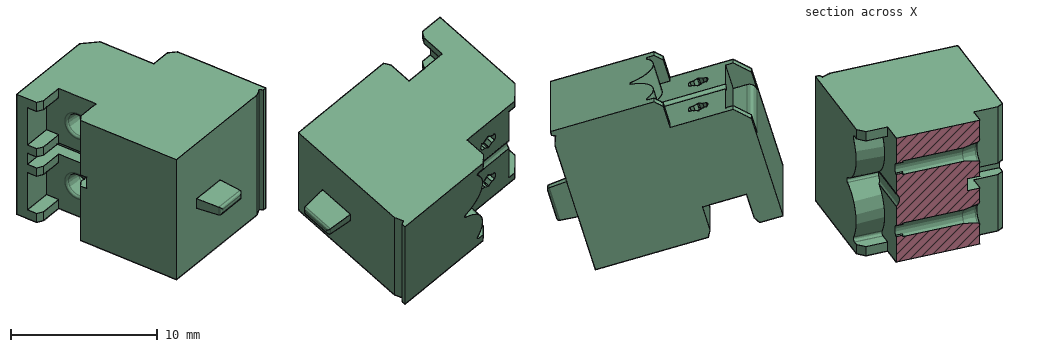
import cadquery as cq
import math

body_length = 13.4
body_width = 10.5
body_height = 10.0

step_length = 5.5
step_y = 8.4
end_chamfer = 1.0
step_chamfer = 0.5

lip_width = 0.3
undercut_depth = 0.26
undercut_start = 0.42
undercut_end = 1.05

groove_start = 1.94
groove_end = 5.07
groove_depth = 2.23
groove_chamfer_x = 0.27
groove_chamfer_y = 0.45

lip_thickness = 0.92
notch_bottom_z = 1.15
slit_width = 0.92
slit_end = 5.85
slit_extra_depth = 0.9

side_wall = 0.75
pocket_depth = 1.54
pocket_y = 6.07
pocket_round = 0.55

pole_spacing = 5.0
pole_z = pole_spacing / 2
column_radius = 2.5
column_x = 8.55
column_fillet = 0.2

trough_radius = 0.65
trough_depth = 0.22

hole_x = 3.5
hole_rim_radius = 1.05
hole_round = 0.18
hole_radius = 0.7
hole_taper_depth = 1.0
tooth_height = 0.5
tooth_tip_radius = 0.55
tooth_tip_angle = 53
tooth_root_angles = (34, 86)

pin_length = 1.95
pin_y = 3.755
pin_base_width = 2.75
pin_tip_width = 2.45
pin_base_thickness = 0.8
pin_tip_thickness = 0.64
pin_round = 0.2

half_height = body_height / 2
pocket_half_height = half_height - side_wall


def box(x_range, y_range, z_range):
    """Box between the given pairs of limits."""
    size = [high - low for low, high in (x_range, y_range, z_range)]
    corner = (x_range[0], y_range[0], z_range[0])
    return cq.Workplane("XY").box(*size, centered=False).translate(corner)


def polar(radius, degrees):
    angle = math.radians(degrees)
    return radius * math.cos(angle), radius * math.sin(angle)


def make_housing():
    outline = [
        (0, 0),
        (groove_start - groove_chamfer_x, 0),
        (groove_start, groove_chamfer_y),
        (groove_start, groove_depth),
        (groove_end, groove_depth),
        (groove_end, groove_chamfer_y),
        (groove_end + groove_chamfer_x, 0),
        (body_length, 0),
        (body_length, body_width - undercut_end),
        (body_length - undercut_depth, body_width - undercut_start),
        (body_length, body_width - lip_width),
        (body_length, body_width),
        (step_length + step_chamfer, body_width),
        (step_length, body_width - step_chamfer),
        (step_length, step_y),
        (end_chamfer, step_y),
        (0, step_y - end_chamfer),
    ]
    return cq.Workplane("XY").polyline(outline).close().extrude(half_height, both=True)


def make_end_pocket():
    """Pocket in the -X end, flared by a rounded edge along its -Y side."""
    return (
        cq.Workplane("XY")
        .moveTo(0, pocket_y)
        .radiusArc((pocket_round, pocket_y + pocket_round), pocket_round)
        .lineTo(pocket_depth, pocket_y + pocket_round)
        .lineTo(pocket_depth, step_y)
        .lineTo(0, step_y)
        .close()
        .extrude(pocket_half_height, both=True)
    )


def on_circle(center, radius, degrees):
    """Point on a circle, with the angle counted from the local +X direction."""
    offset = polar(radius, degrees)
    return center[0] + offset[0], center[1] + offset[1]


def make_column_recess(floor_y):
    """Space above floor_y, from the -X end to the wall that runs around the two pole columns."""
    reach = column_radius + column_fillet

    wall_rise = pocket_half_height - column_fillet - pole_z
    wall_angle = 180 - math.degrees(math.asin(wall_rise / reach))
    middle_angle = 180 + math.degrees(math.asin(pole_z / reach))

    column = (column_x, pole_z)
    wall_fillet = on_circle(column, reach, wall_angle)
    middle_fillet = on_circle(column, reach, middle_angle)

    wall_sweep_middle = (90 + wall_angle - 180) / 2
    middle_sweep_middle = (middle_angle - 180) / 2

    upper_half = (
        cq.Workplane("XZ", origin=(0, floor_y, 0))
        .moveTo(0, 0)
        .lineTo(0, pocket_half_height)
        .lineTo(wall_fillet[0], pocket_half_height)
        .threePointArc(
            on_circle(wall_fillet, column_fillet, wall_sweep_middle),
            on_circle(column, column_radius, wall_angle),
        )
        .threePointArc(
            (column_x - column_radius, pole_z),
            on_circle(column, column_radius, middle_angle),
        )
        .threePointArc(
            on_circle(middle_fillet, column_fillet, middle_sweep_middle),
            on_circle(middle_fillet, column_fillet, 0),
        )
        .close()
        .extrude(floor_y - body_width)
    )
    return upper_half.union(upper_half.mirror("XY"))


def make_trough():
    """Shallow round trough along the step face, ending at the wall of the column recess."""
    cylinder = (
        cq.Workplane("YZ")
        .center(step_y - trough_depth + trough_radius, 0)
        .circle(trough_radius)
        .extrude(column_x)
    )
    return cylinder.intersect(make_column_recess(step_y - trough_depth))


def make_groove_recesses():
    """Slit between the poles and one notch per pole, open to the -Y face."""
    slit = box(
        (lip_thickness, slit_end),
        (0, groove_depth + slit_extra_depth),
        (-slit_width / 2, slit_width / 2),
    )
    notch = box(
        (lip_thickness, groove_start),
        (0, groove_depth),
        (notch_bottom_z, pocket_half_height),
    )
    return slit.union(notch).union(notch.mirror("XY"))


def make_screw_hole(z):
    """Tapered hole with a rounded mouth and four small teeth at its +Y end."""
    neck_radius = hole_rim_radius - hole_round
    mouth_end = groove_depth + hole_round
    taper_end = mouth_end + hole_taper_depth
    hole = (
        cq.Workplane("XY")
        .moveTo(0, groove_depth)
        .lineTo(hole_rim_radius, groove_depth)
        .radiusArc((neck_radius, mouth_end), hole_round)
        .lineTo(hole_radius, taper_end)
        .lineTo(hole_radius, step_y)
        .lineTo(0, step_y)
        .close()
        .revolve(360, (0, 0, 0), (0, 1, 0))
    )
    tooth = (
        cq.Workplane("XZ", origin=(0, step_y, 0))
        .polyline(
            [
                polar(tooth_tip_radius, tooth_tip_angle),
                polar(hole_radius, tooth_root_angles[0]),
                polar(hole_rim_radius, tooth_tip_angle),
                polar(hole_radius, tooth_root_angles[1]),
            ]
        )
        .close()
        .extrude(tooth_height)
    )
    tooth_pair = tooth.union(tooth.mirror("XY"))
    hole = hole.cut(tooth_pair).cut(tooth_pair.mirror("YZ"))
    return hole.translate((hole_x, 0, z))


def make_pin():
    pin = (
        cq.Workplane("YZ", origin=(body_length, pin_y, 0))
        .rect(pin_base_width, pin_base_thickness)
        .workplane(offset=pin_length)
        .rect(pin_tip_width, pin_tip_thickness)
        .loft(ruled=True)
    )
    return pin.faces(">X").edges().fillet(pin_round)


result = (
    make_housing()
    .cut(make_end_pocket())
    .cut(make_column_recess(step_y))
    .cut(make_groove_recesses())
    .cut(make_trough())
)
for z in (-pole_z, pole_z):
    result = result.cut(make_screw_hole(z))
result = result.union(make_pin())